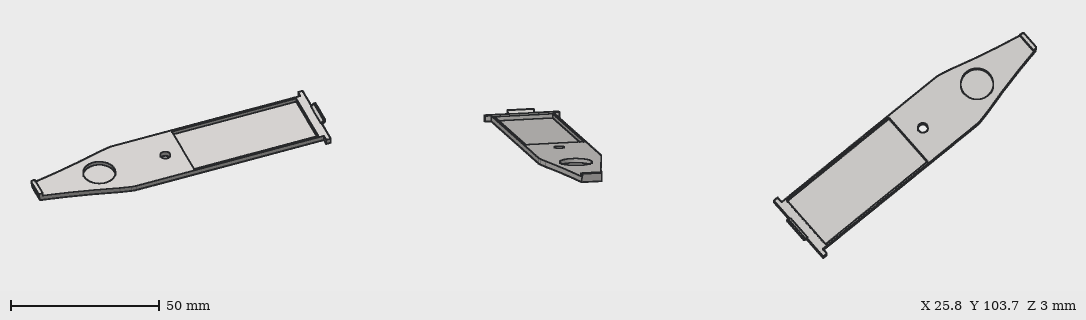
import cadquery as cq

length = 103.7
height = 3.0
thickness = 2.0

half_body = 10.8
bend_start_y = 32.7
bend_middle = (10.73, 31.7)
bend_end = (10.6, 30.8)
taper_start = (9.7, 27.1)
taper_middle = (6.38, 14.1)
half_tip = 3.4
tip_lip_length = 1.5
tip_lean = 0.5
tip_corner_chamfer = 0.2

flange_width = 25.8
flange_length = 1.7
catch_width = 9.1
catch_reach = 1.3
catch_edge = 0.6
flange_back_y = length - catch_reach

pocket_width = 20.2
pocket_start_y = 53.8
pocket_end_y = 98.9
recess_depth = 1.5

hole_diameter = 3.4
hole_y = 47.4
round_recess_diameter = 11.0
round_recess_y = 23.4


def mirrored(point):
    return (-point[0], point[1])


def make_outline(extrusion):
    """Body and tip outline, extruded up from the underside."""
    tip = (half_tip, 0)
    bend_start = (half_body, bend_start_y)
    return (
        cq.Workplane("XY")
        .moveTo(*tip)
        .threePointArc(taper_middle, taper_start)
        .lineTo(*bend_end)
        .threePointArc(bend_middle, bend_start)
        .lineTo(half_body, flange_back_y)
        .lineTo(-half_body, flange_back_y)
        .lineTo(*mirrored(bend_start))
        .threePointArc(mirrored(bend_middle), mirrored(bend_end))
        .lineTo(*mirrored(taper_start))
        .threePointArc(mirrored(taper_middle), mirrored(tip))
        .close()
        .extrude(extrusion)
        .edges("|Z and <Y")
        .chamfer(tip_corner_chamfer)
    )


def extrude_side_profile(points, width):
    """Extrude a (Y, Z) profile symmetrically about the centre plane."""
    return cq.Workplane("YZ").polyline(points).close().extrude(width / 2, both=True)


def make_plate():
    """Flat strip with a raised lip and a leaning end face at the tip."""
    side_profile = [
        (tip_lean, 0),
        (flange_back_y, 0),
        (flange_back_y, thickness),
        (tip_lip_length, thickness),
        (tip_lip_length, height),
        (0, height),
    ]
    return make_outline(height).intersect(extrude_side_profile(side_profile, flange_width))


def make_flange():
    return cq.Workplane("XY").box(
        flange_width, flange_length, thickness, centered=(True, False, False)
    ).translate((0, flange_back_y - flange_length, 0))


def make_catch():
    """Finger rising at 45 degrees behind the flange."""
    underside_z = height - catch_edge - catch_reach
    top_edge_y = length - catch_edge
    slope_foot_y = top_edge_y - (height - thickness)
    side_profile = [
        (flange_back_y, underside_z),
        (length, height - catch_edge),
        (length, height),
        (top_edge_y, height),
        (slope_foot_y, thickness),
        (slope_foot_y, underside_z),
    ]
    return extrude_side_profile(side_profile, catch_width)


def make_pocket():
    pocket_length = pocket_end_y - pocket_start_y
    return cq.Workplane("XY").box(
        pocket_width, pocket_length, recess_depth, centered=(True, False, False)
    ).translate((0, pocket_start_y, thickness - recess_depth))


def make_round_cut(diameter, center_y, depth):
    """Round cut going down from the top of the plate."""
    return (
        cq.Workplane("XY", origin=(0, center_y, thickness - depth))
        .circle(diameter / 2)
        .extrude(depth)
    )


result = (
    make_plate()
    .union(make_flange())
    .union(make_catch())
    .cut(make_pocket())
    .cut(make_round_cut(hole_diameter, hole_y, thickness))
    .cut(make_round_cut(round_recess_diameter, round_recess_y, recess_depth))
)